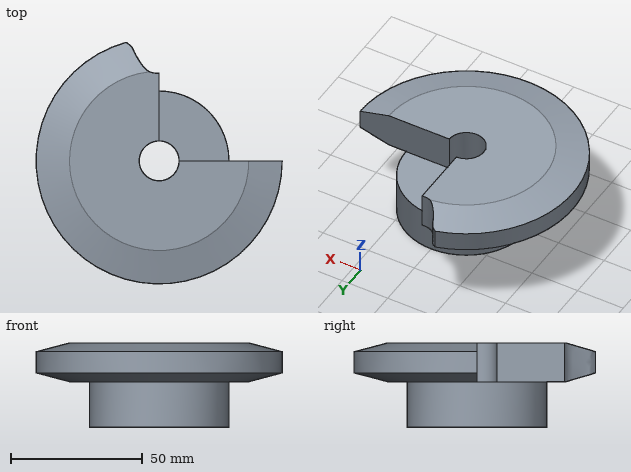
import cadquery as cq

disc_radius = 46.65
flat_face_radius = 34.0
rim_height = 8.0
bevel_height = 3.4
disc_thickness = rim_height + 2 * bevel_height

total_height = 32.0
hub_radius = 53.0 / 2
hub_height = total_height - disc_thickness
bore_diameter = 15.0

notch_wall_length = 33.2
lead_in_points = [(-3.6, 33.8), (-6.5, 36.4), (-9.3, 41.05), (-12.6, 45.0)]
lead_in_start_direction = (-1, 0)
lead_in_end_direction = (-1, 0.6)
notch_reach = 1.2 * disc_radius


def make_disc():
    """Revolve the bevelled disc about Z, resting on top of the hub."""
    rim_bottom = hub_height + bevel_height
    return (
        cq.Workplane("XZ")
        .moveTo(0, hub_height)
        .lineTo(flat_face_radius, hub_height)
        .lineTo(disc_radius, rim_bottom)
        .lineTo(disc_radius, rim_bottom + rim_height)
        .lineTo(flat_face_radius, total_height)
        .lineTo(0, total_height)
        .close()
        .revolve(360, (0, 0, 0), (0, 1, 0))
    )


def make_notch():
    """Cutter for the +X +Y quarter, widened past Y by the lead-in curve."""
    return (
        cq.Workplane("XY")
        .workplane(offset=hub_height)
        .lineTo(0, notch_wall_length)
        .spline(
            lead_in_points,
            tangents=[lead_in_start_direction, lead_in_end_direction],
            includeCurrent=True,
        )
        .lineTo(lead_in_points[-1][0], notch_reach)
        .lineTo(notch_reach, notch_reach)
        .lineTo(notch_reach, 0)
        .close()
        .extrude(disc_thickness)
    )


hub = cq.Workplane("XY").circle(hub_radius).extrude(hub_height)
bore = cq.Workplane("XY").circle(bore_diameter / 2).extrude(total_height)

result = make_disc().cut(make_notch()).union(hub).cut(bore)